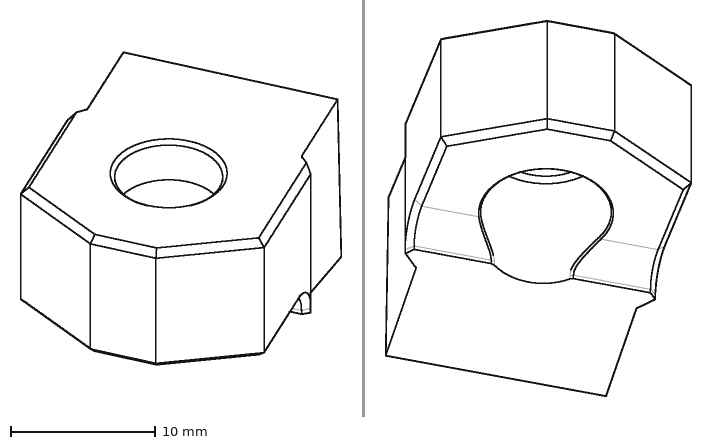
import cadquery as cq
import math

body_width = 18.0
total_height = 14.0
back_y = 12.98
front_y = back_y - 22.0
front_flat_width = 4.85
nose_angle = 30.0
edge_chamfer = 0.5

tail_width = 15.85
shoulder_y = 5.08
back_rake = 3.0
underside_slope = 10.0

plate_thickness = 10.0
step_y = 3.55
step_radius = 1.98

bore_radius = 3.75
bore_chamfer = 0.3
counterbore_radius = 4.53
counterbore_top_z = -3.28
counterbore_chamfer = 0.13

rim_margin = 0.22

half_body = body_width / 2
half_tail = tail_width / 2
half_flat = front_flat_width / 2
nose_y = front_y + (half_body - half_flat) * math.tan(math.radians(nose_angle))
back_top_y = back_y - total_height * math.tan(math.radians(back_rake))
slope_drop = math.tan(math.radians(underside_slope))


def make_body():
    """Full-width block with a pointed nose and a step with a rounded inner corner."""
    step_bottom_z = -total_height + (back_y - step_y) * slope_drop
    profile = (
        cq.Workplane("YZ")
        .moveTo(front_y, 0)
        .lineTo(back_top_y, 0)
        .lineTo(back_y, -total_height)
        .lineTo(step_y, step_bottom_z)
        .lineTo(step_y, -plate_thickness - step_radius)
        .radiusArc((step_y - step_radius, -plate_thickness), -step_radius)
        .lineTo(front_y, -plate_thickness)
        .close()
        .extrude(half_body, both=True)
    )
    plan = (
        cq.Workplane("XY")
        .polyline([
            (-half_body, back_y),
            (-half_body, nose_y),
            (-half_flat, front_y),
            (half_flat, front_y),
            (half_body, nose_y),
            (half_body, back_y),
        ])
        .close()
        .extrude(-total_height)
    )
    return profile.intersect(plan)


def chamfer_outer_edges(body):
    """Bevel the top rim, and the lower rim through the step corner; the back edges stay sharp."""
    body = body.faces(">Z").edges("not >Y").chamfer(edge_chamfer)
    lower_rim = cq.selectors.BoxSelector(
        (-body_width, front_y - rim_margin, -total_height),
        (body_width, step_y + rim_margin, -plate_thickness + rim_margin),
    )
    return body.edges(lower_rim).edges("(not |X) or <Y").chamfer(edge_chamfer)


def cut_shoulders(body):
    """Narrow the tail behind a 45 degree shoulder on each side."""
    shoulder = half_body - half_tail
    for side in (-1, 1):
        corner = (
            cq.Workplane("XY")
            .polyline([
                (side * half_tail, back_y),
                (side * half_tail, shoulder_y),
                (side * half_body, shoulder_y - shoulder),
                (side * half_body, back_y),
            ])
            .close()
            .extrude(-total_height)
        )
        body = body.cut(corner)
    return body


def cut_bore(body):
    """Through bore with a bevelled mouth and a wider counterbore from below."""
    bore = cq.Workplane("XY").circle(bore_radius).extrude(-total_height)
    mouth = cq.Workplane("XY").add(
        cq.Solid.makeCone(
            bore_radius, bore_radius + bore_chamfer, bore_chamfer, pnt=cq.Vector(0, 0, -bore_chamfer)
        )
    )
    counterbore = (
        cq.Workplane("XY")
        .workplane(offset=counterbore_top_z)
        .circle(counterbore_radius)
        .extrude(-total_height)
    )
    return body.cut(bore).cut(mouth).cut(counterbore)


def chamfer_counterbore(body):
    """Bevel the counterbore rim where it crosses the plate, the step corner and the step wall."""
    reach = counterbore_radius + rim_margin
    rim = cq.selectors.BoxSelector(
        (-reach, -reach, -total_height),
        (reach, step_y + rim_margin, -plate_thickness + rim_margin),
    )
    return body.edges(rim).edges("not |X").chamfer(counterbore_chamfer)


body = chamfer_outer_edges(make_body())
body = cut_shoulders(body)
result = chamfer_counterbore(cut_bore(body))